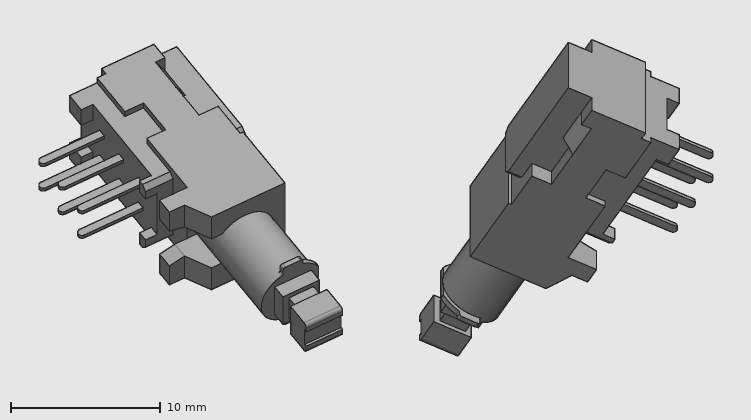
import cadquery as cq
import math


shell_half_z = 3.7
shell_end_x = 15.15
shell_step_x = 0.55
shell_step_y = -1.92
shell_bottom_y = -2.62
shell_top_y = 3.18
shell_neck_x = 9.8
shell_neck_y = 2.95
shell_left_y = 2.2
window_left_x = 1.42
window_right_x = 6.98
window_bottom_y = 1.45
latch_right_x = 4.0

leg_left_x = 12.05
leg_right_x = 13.3
leg_slope_y = -3.6
leg_gap_half_z = 1.48
leg_gap_flare = 0.3
foot_y = -4.8

back_end_x = 8.75
back_half_z = 2.38
back_y = 4.0
back_chamfer = 0.4

base_end_x = 10.25
base_half_z = 3.2
base_floor_y = -3.88
base_chamfer = 0.38
tab_left_x = 4.1
tab_right_x = 6.9
tab_top_y = -1.15
left_foot_length = 1.5
left_foot_inner_z = 1.62
right_foot_length = 0.75
right_foot_inner_z = 2.08

pin_first_x = 3.2
pin_pitch_x = 2.48
pin_columns = 3
pin_z = 1.25
pin_width = 0.6
pin_thickness = 0.3
pin_tip_y = -8.8

barrel_radius = 2.3
barrel_end_x = 20.6
clip_thickness = 0.38
clip_radius = 2.65
clip_flat_y = 2.22
ear_half_z = 2.9
ear_half_width = 0.78
ear_fillet = 0.2
ear_root_fillet = 0.15

plunger_y = 0.2
plunger_width_y = 2.88
plunger_width_z = 2.8
neck_width_y = 1.95
neck_width_z = 2.05
neck_start_x = 22.02
neck_end_x = 23.0
plunger_end_x = 25.0
tip_fillet = 0.28
tip_groove_depth = 0.2
tip_groove_half_z = 0.72


def block(x_range, y_range, z_range):
    """Box spanning the given (low, high) limits on each axis."""
    lows = (x_range[0], y_range[0], z_range[0])
    sizes = (x_range[1] - x_range[0], y_range[1] - y_range[0], z_range[1] - z_range[0])
    return cq.Workplane("XY").box(*sizes, centered=False).translate(lows)


def both_sides(solid):
    """The solid together with its mirror image about Z = 0."""
    return solid.union(solid.mirror("XY"))


def make_shell():
    outline = [
        (0, shell_step_y),
        (shell_step_x, shell_step_y),
        (shell_step_x, shell_bottom_y),
        (leg_left_x, shell_bottom_y),
        (leg_left_x, foot_y),
        (leg_right_x, foot_y),
        (leg_right_x, leg_slope_y),
        (shell_end_x, shell_bottom_y),
        (shell_end_x, shell_top_y),
        (shell_neck_x, shell_top_y),
        (shell_neck_x, shell_neck_y),
        (window_right_x, shell_neck_y),
        (window_right_x, window_bottom_y),
        (window_left_x, window_bottom_y),
        (window_left_x, shell_left_y),
        (0, shell_left_y),
    ]
    shell = cq.Workplane("XY").polyline(outline).close().extrude(shell_half_z, both=True)

    flare_half_z = leg_gap_half_z + leg_gap_flare
    gap_outline = [
        (0, -leg_gap_half_z),
        (leg_slope_y, -leg_gap_half_z),
        (foot_y, -flare_half_z),
        (foot_y, flare_half_z),
        (leg_slope_y, leg_gap_half_z),
        (0, leg_gap_half_z),
    ]
    gap = (
        cq.Workplane("YZ", origin=(leg_left_x, 0, 0))
        .polyline(gap_outline)
        .close()
        .extrude(shell_end_x - leg_left_x)
    )

    notch = block(
        (tab_left_x, tab_right_x), (shell_bottom_y, tab_top_y), (base_half_z, shell_half_z)
    )
    return shell.cut(gap).cut(both_sides(notch))


def make_back_block():
    back = block((0, back_end_x), (0, back_y), (-back_half_z, back_half_z))
    return back.edges(">X and |Y").chamfer(back_chamfer)


def make_latches():
    """Wedges that slope from the shell sides up to the back block."""
    wedge = (
        cq.Workplane("YZ", origin=(window_left_x, 0, 0))
        .polyline(
            [
                (window_bottom_y, back_half_z),
                (window_bottom_y, shell_half_z),
                (shell_left_y, back_half_z),
            ]
        )
        .close()
        .extrude(latch_right_x - window_left_x)
    )
    return both_sides(wedge)


def make_base():
    base = block((shell_step_x, base_end_x), (foot_y, 0), (-base_half_z, base_half_z))
    base = base.edges(">X and |Y").chamfer(base_chamfer)

    left_foot_end = shell_step_x + left_foot_length
    right_foot_start = base_end_x - right_foot_length
    clearances = [
        (shell_step_x, left_foot_end, left_foot_inner_z),
        (left_foot_end, right_foot_start, base_half_z),
        (right_foot_start, base_end_x, right_foot_inner_z),
    ]
    for start_x, end_x, half_z in clearances:
        base = base.cut(block((start_x, end_x), (foot_y, base_floor_y), (-half_z, half_z)))
    return base


def make_pins():
    """Two rows of flat pins with round tips, rooted in the base."""
    root_overlap = 0.25
    root_y = base_floor_y + root_overlap
    tip_start_y = pin_tip_y + pin_width / 2
    pins = cq.Workplane("XY")
    for column in range(pin_columns):
        center_x = pin_first_x + column * pin_pitch_x
        left_x = center_x - pin_width / 2
        right_x = center_x + pin_width / 2
        pin = (
            cq.Workplane("XY", origin=(0, 0, pin_z - pin_thickness / 2))
            .moveTo(left_x, root_y)
            .lineTo(left_x, tip_start_y)
            .threePointArc((center_x, pin_tip_y), (right_x, tip_start_y))
            .lineTo(right_x, root_y)
            .close()
            .extrude(pin_thickness)
        )
        pins = pins.union(both_sides(pin))
    return pins


def make_barrel():
    return (
        cq.Workplane("YZ", origin=(leg_left_x, 0, 0))
        .circle(barrel_radius)
        .extrude(barrel_end_x - leg_left_x)
    )


def make_clip():
    clip_end_x = barrel_end_x + clip_thickness
    clip_x = (barrel_end_x, clip_end_x)
    plane = cq.Workplane("YZ", origin=(barrel_end_x, 0, 0))

    disc = plane.circle(barrel_radius).extrude(clip_thickness)
    wide_side = plane.circle(clip_radius).extrude(clip_thickness)
    wide_side = wide_side.intersect(block(clip_x, (0, clip_radius), (-clip_radius, clip_radius)))
    ear_low_y = plunger_y - ear_half_width
    ear_high_y = plunger_y + ear_half_width
    ears = block(clip_x, (ear_low_y, ear_high_y), (-ear_half_z, ear_half_z))
    ears = ears.edges("|X").fillet(ear_fillet)
    clip = disc.union(wide_side).union(ears)

    middle_x = barrel_end_x + clip_thickness / 2
    for root_y, rim_radius in ((ear_low_y, barrel_radius), (ear_high_y, clip_radius)):
        root_z = math.sqrt(rim_radius**2 - root_y**2)
        for z in (-root_z, root_z):
            root = clip.edges(cq.NearestToPointSelector((middle_x, root_y, z)))
            clip = root.fillet(ear_root_fillet)

    beyond_flat = block(clip_x, (clip_flat_y, clip_radius), (-clip_radius, clip_radius))
    return clip.cut(beyond_flat)


def make_plunger():
    def bar(start_x, end_x, width_y, width_z):
        return (
            cq.Workplane("YZ", origin=(start_x, plunger_y, 0))
            .rect(width_y, width_z)
            .extrude(end_x - start_x)
        )

    collar = bar(barrel_end_x, neck_start_x, plunger_width_y, plunger_width_z)
    neck = bar(neck_start_x, neck_end_x, neck_width_y, neck_width_z)
    head = bar(neck_end_x, plunger_end_x, plunger_width_y, plunger_width_z)
    head = head.edges(">X and |Y").fillet(tip_fillet)
    groove = bar(
        plunger_end_x - tip_groove_depth, plunger_end_x, plunger_width_y, 2 * tip_groove_half_z
    )
    return collar.union(neck).union(head.cut(groove))


result = make_shell()
for piece in (
    make_back_block(),
    make_latches(),
    make_base(),
    make_pins(),
    make_barrel(),
    make_clip(),
    make_plunger(),
):
    result = result.union(piece)